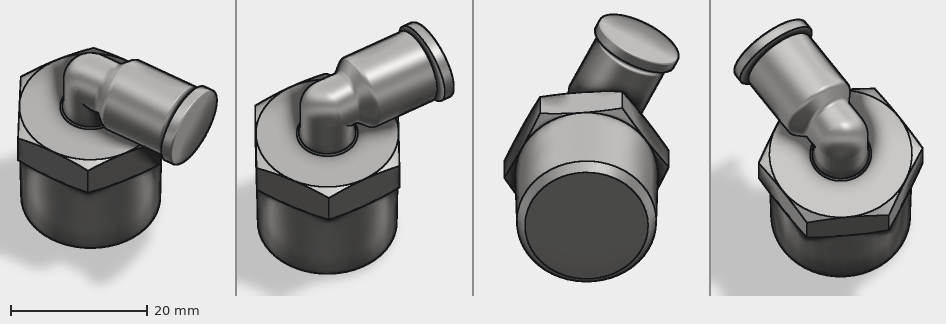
import cadquery as cq
import math


hex_across_flats = 21.0
hex_bottom_z = 15.0
hex_height = 6.0
hex_top_z = hex_bottom_z + hex_height
hex_corner_radius = hex_across_flats / 2 / math.cos(math.radians(30))
hex_chamfer_face_radius = 10.48
hex_chamfer_angle = math.radians(20)
hex_trim_margin = 1.0

thread_top_radius = 10.5
thread_lower_radius = 10.25
thread_end_radius = 9.05
thread_chamfer_height = 1.25

elbow_radius = 4.0
socket_radius = 5.6
overall_height = 32.5
socket_axis_z = overall_height - socket_radius

foot_cone_radius = 4.2
foot_base_radius = 4.5
foot_top_z = hex_top_z + 1.4
foot_flare_z = hex_top_z + 0.2

shoulder_start_x = 3.5
shoulder_end_x = 5.35
shoulder_blend_radius = 1.0
socket_end_x = 15.6
socket_edge_radius = 0.3

neck_radius = 3.75
collar_start_x = 16.25
collar_end_x = 17.95
collar_width = 13.0
collar_height = 11.0
collar_edge_radius = 0.3


def make_thread():
    outline = (
        cq.Workplane("XZ")
        .moveTo(0, 0)
        .lineTo(thread_end_radius, 0)
        .lineTo(thread_lower_radius, thread_chamfer_height)
        .lineTo(thread_top_radius, hex_bottom_z)
        .lineTo(0, hex_bottom_z)
        .close()
    )
    return outline.revolve(360, (0, 0, 0), (0, 1, 0))


def make_hexagon():
    prism = (
        cq.Workplane("XY")
        .workplane(offset=hex_bottom_z)
        .polygon(6, 2 * hex_corner_radius)
        .extrude(hex_height)
    )
    trim_radius = hex_corner_radius + hex_trim_margin
    trim_drop = (trim_radius - hex_chamfer_face_radius) * math.tan(hex_chamfer_angle)
    double_cone = (
        cq.Workplane("XZ")
        .moveTo(0, hex_bottom_z)
        .lineTo(hex_chamfer_face_radius, hex_bottom_z)
        .lineTo(trim_radius, hex_bottom_z + trim_drop)
        .lineTo(trim_radius, hex_top_z - trim_drop)
        .lineTo(hex_chamfer_face_radius, hex_top_z)
        .lineTo(0, hex_top_z)
        .close()
        .revolve(360, (0, 0, 0), (0, 1, 0))
    )
    return prism.intersect(double_cone)


def make_upright_leg():
    dome_rim_offset = elbow_radius * math.sqrt(0.5)
    outline = (
        cq.Workplane("XZ")
        .moveTo(0, hex_top_z)
        .lineTo(foot_base_radius, hex_top_z)
        .lineTo(foot_cone_radius, foot_flare_z)
        .lineTo(elbow_radius, foot_top_z)
        .lineTo(elbow_radius, socket_axis_z)
        .threePointArc(
            (dome_rim_offset, socket_axis_z + dome_rim_offset),
            (0, socket_axis_z + elbow_radius),
        )
        .close()
    )
    return outline.revolve(360, (0, 0, 0), (0, 1, 0))


def make_socket():
    shoulder_angle = math.atan2(socket_radius - elbow_radius, shoulder_end_x - shoulder_start_x)
    blend_length = shoulder_blend_radius * math.tan(shoulder_angle / 2)
    blend_run = blend_length * math.cos(shoulder_angle)
    blend_rise = blend_length * math.sin(shoulder_angle)
    outline = (
        cq.Workplane("XZ", origin=(0, 0, socket_axis_z))
        .lineTo(0, elbow_radius)
        .lineTo(shoulder_start_x - blend_length, elbow_radius)
        .radiusArc(
            (shoulder_start_x + blend_run, elbow_radius + blend_rise),
            -shoulder_blend_radius,
        )
        .lineTo(shoulder_end_x - blend_run, socket_radius - blend_rise)
        .radiusArc((shoulder_end_x + blend_length, socket_radius), shoulder_blend_radius)
        .lineTo(socket_end_x, socket_radius)
        .lineTo(socket_end_x, 0)
        .close()
    )
    body = outline.revolve(360, (0, 0, 0), (1, 0, 0))
    return body.faces(">X").edges().fillet(socket_edge_radius)


def make_collar():
    neck = (
        cq.Workplane("YZ", origin=(socket_end_x, 0, socket_axis_z))
        .circle(neck_radius)
        .extrude(collar_start_x - socket_end_x)
    )
    plate = (
        cq.Workplane("YZ", origin=(collar_start_x, 0, socket_axis_z))
        .ellipse(collar_width / 2, collar_height / 2)
        .extrude(collar_end_x - collar_start_x)
        .faces(">X")
        .edges()
        .fillet(collar_edge_radius)
    )
    return neck.union(plate)


result = (
    make_thread()
    .union(make_hexagon())
    .union(make_upright_leg())
    .union(make_socket())
    .union(make_collar())
)